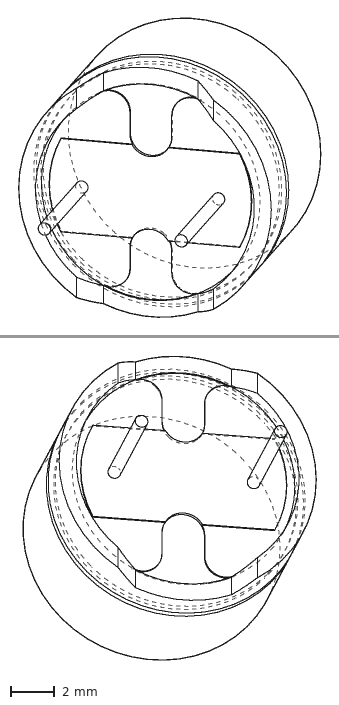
import cadquery as cq
import math

overall_length = 14.0
can_radius = 12.0 / 2
can_length = 8.5

groove_start = 5.5
groove_width = 0.39
groove_depth = 0.34

recess_radius = 5.2
recess_depth = 1.0
floor_position = can_length - recess_depth
notch_floor_half_width = 2.24
notch_mouth_half_width = 3.25

plate_radius = 4.8
plate_height = 0.1
plate_width = 4.5

channel_half_width = 1.0
channel_end = 1.75
channel_depth = 0.1
channel_flare_radius = 0.95

pin_radius = 0.3
pin_spacing = 6.5


def cylinder_between(radius, start, end, x=0):
    """Cylinder along -Y between two distances from the back of the can."""
    return (
        cq.Workplane("XZ", origin=(x, -start, 0))
        .circle(radius)
        .extrude(end - start)
    )


def make_can():
    can = cylinder_between(can_radius, 0, can_length)
    groove_end = groove_start + groove_width
    groove = cylinder_between(can_radius, groove_start, groove_end).cut(
        cylinder_between(can_radius - groove_depth, groove_start, groove_end)
    )
    recess = cylinder_between(recess_radius, floor_position, can_length)
    return can.cut(groove).cut(recess)


def make_notch():
    """Trapezoidal cutter that opens both the upper and the lower rim."""
    return (
        cq.Workplane("XY")
        .polyline([
            (-notch_floor_half_width, -floor_position),
            (notch_floor_half_width, -floor_position),
            (notch_mouth_half_width, -can_length),
            (-notch_mouth_half_width, -can_length),
        ])
        .close()
        .extrude(2 * can_radius, both=True)
    )


def make_plate():
    disc = cylinder_between(plate_radius, floor_position, floor_position + plate_height)
    band = cq.Workplane("XY").box(2 * can_radius, 2 * can_length, plate_width)
    return disc.intersect(band)


def make_upper_channel():
    """Round-ended channel whose sides flare out tangent to the recess wall."""
    flare_x = channel_half_width + channel_flare_radius
    flare_center_radius = recess_radius - channel_flare_radius
    flare_z = math.sqrt(flare_center_radius**2 - flare_x**2)
    wall_ratio = recess_radius / flare_center_radius
    wall_x = flare_x * wall_ratio
    wall_z = flare_z * wall_ratio

    middle_angle = (math.pi + math.atan2(flare_z, flare_x)) / 2
    middle_x = flare_x + channel_flare_radius * math.cos(middle_angle)
    middle_z = flare_z + channel_flare_radius * math.sin(middle_angle)

    return (
        cq.Workplane("XZ", origin=(0, -(floor_position - channel_depth), 0))
        .moveTo(-wall_x, wall_z)
        .threePointArc((0, recess_radius), (wall_x, wall_z))
        .threePointArc((middle_x, middle_z), (channel_half_width, flare_z))
        .lineTo(channel_half_width, channel_end + channel_half_width)
        .threePointArc((0, channel_end), (-channel_half_width, channel_end + channel_half_width))
        .lineTo(-channel_half_width, flare_z)
        .threePointArc((-middle_x, middle_z), (-wall_x, wall_z))
        .close()
        .extrude(channel_depth + plate_height)
    )


result = make_can().cut(make_notch()).union(make_plate())

upper_channel = make_upper_channel()
for channel in (upper_channel, upper_channel.mirror("XY")):
    result = result.cut(channel, clean=False)

for side in (-1, 1):
    pin = cylinder_between(pin_radius, floor_position, overall_length, side * pin_spacing / 2)
    result = result.union(pin, clean=False)